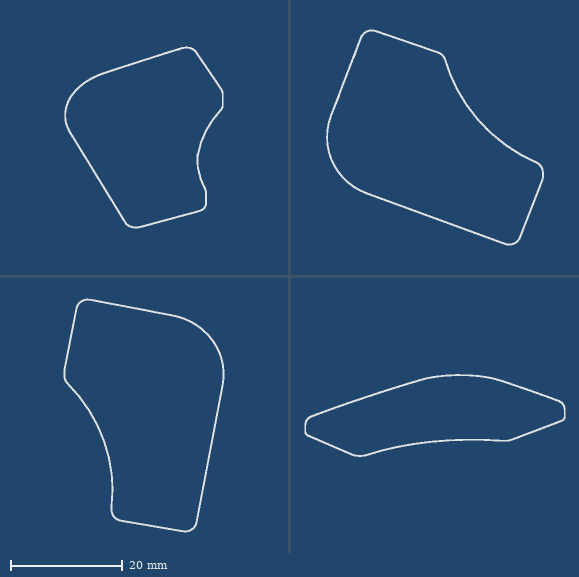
import cadquery as cq
import math

LENGTH = 39.8
WIDTH = 28.4
BLANK_HEIGHT = 4.78
CORNER_RADIUS = 4.25 / 2
LARGE_CORNER_RADIUS = 11.15

HOLLOW_X = LENGTH
HOLLOW_Y = 45.35
HOLLOW_RADIUS = 29.85

CROWN_START = (27.85, 4.6)
CROWN_MIDDLE = (41.8, 3.35)
CROWN_END = (59.7, 1.27)

TOP_FILLET = 1.5
BOTTOM_FILLET = 0.25


def plate():
    """Flat plate with a hollow side and rounded vertical corners."""
    hollow_reach = math.sqrt(HOLLOW_RADIUS**2 - (HOLLOW_Y - WIDTH) ** 2)
    hollow_start = (HOLLOW_X - hollow_reach, WIDTH)
    hollow_end = (LENGTH, HOLLOW_Y - HOLLOW_RADIUS)
    start_angle = math.atan2(WIDTH - HOLLOW_Y, -hollow_reach)
    middle_angle = (start_angle - math.pi / 2) / 2
    hollow_middle = (
        HOLLOW_X + HOLLOW_RADIUS * math.cos(middle_angle),
        HOLLOW_Y + HOLLOW_RADIUS * math.sin(middle_angle),
    )
    body = (
        cq.Workplane("XY")
        .lineTo(0, WIDTH)
        .lineTo(*hollow_start)
        .threePointArc(hollow_middle, hollow_end)
        .lineTo(LENGTH, 0)
        .close()
        .extrude(BLANK_HEIGHT)
    )
    large_corner = cq.selectors.NearestToPointSelector((0, 0, BLANK_HEIGHT / 2))
    body = body.edges(large_corner).fillet(LARGE_CORNER_RADIUS)
    small_corners = [(0, WIDTH), hollow_start, hollow_end, (LENGTH, 0)]
    for x, y in small_corners:
        corner = cq.selectors.NearestToPointSelector((x, y, BLANK_HEIGHT / 2))
        body = body.edges("|Z").edges(corner).fillet(CORNER_RADIUS)
    return body


def crown_envelope():
    """Solid of revolution about the hollow axis, lying below the crowned top."""
    profile_base = -0.4
    return (
        cq.Workplane("XZ")
        .moveTo(CROWN_START[0], profile_base)
        .lineTo(*CROWN_START)
        .threePointArc(CROWN_MIDDLE, CROWN_END)
        .lineTo(CROWN_END[0], profile_base)
        .close()
        .revolve(360, (0, 0, 0), (0, 1, 0))
        .translate((HOLLOW_X, HOLLOW_Y, 0))
    )


crowned = plate().intersect(crown_envelope())
top_face = cq.selectors.DirectionMinMaxSelector(cq.Vector(0, 0, 1))
top_rounded = crowned.faces(top_face).edges().fillet(TOP_FILLET)
result = top_rounded.faces("<Z").edges().fillet(BOTTOM_FILLET)